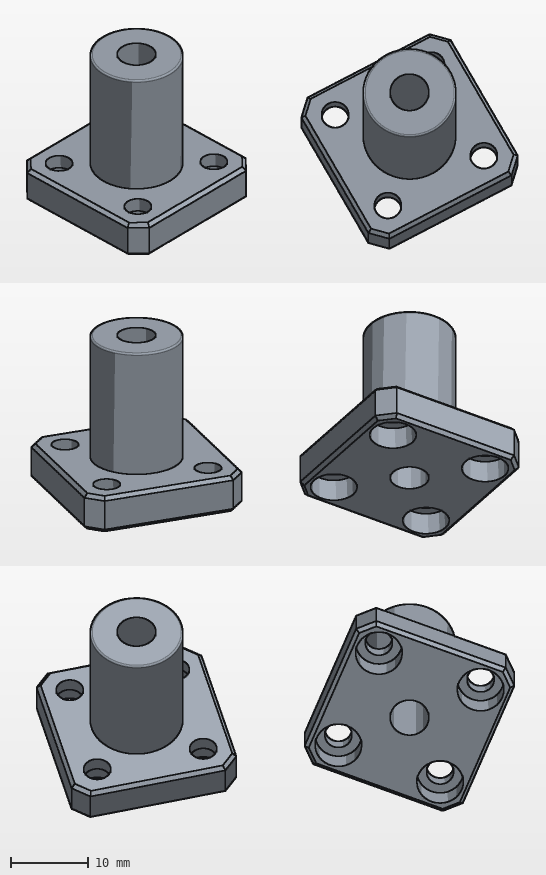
import cadquery as cq
import math

flange_side = 22.0
flange_thickness = 5.0
corner_chamfer = 2.0
edge_chamfer = 0.5

overall_height = 22.0
shaft_diameter = 12.0
shaft_rim_radius = 0.25
bore_diameter = 5.0

bolt_circle_diameter = 20.0
screw_hole_diameter = 3.5
counterbore_diameter = 6.0
counterbore_depth = 3.1

hole_spacing = bolt_circle_diameter / math.sqrt(2)


def make_flange():
    """Square plate with cut corners and bevelled top and bottom rims."""
    plate = cq.Workplane("XY").rect(flange_side, flange_side).extrude(flange_thickness)
    plate = plate.edges("|Z").chamfer(corner_chamfer)
    return plate.faces("<Z or >Z").chamfer(edge_chamfer)


def make_shaft():
    """Round shaft, starting at the flange underside, with a rounded top rim."""
    shaft = cq.Workplane("XY").circle(shaft_diameter / 2).extrude(overall_height)
    return shaft.faces(">Z").edges().fillet(shaft_rim_radius)


def make_bore():
    """Cutter for the bore along the full height of the part."""
    return cq.Workplane("XY").circle(bore_diameter / 2).extrude(overall_height)


def make_corner_cylinders(diameter, height):
    """Four upright cylinders at the screw positions, rising from the flange underside."""
    centres = cq.Workplane("XY").rect(hole_spacing, hole_spacing, forConstruction=True).vertices()
    return centres.circle(diameter / 2).extrude(height)


body = make_flange().union(make_shaft())
body = body.cut(make_bore())
body = body.cut(make_corner_cylinders(screw_hole_diameter, flange_thickness))
result = body.cut(make_corner_cylinders(counterbore_diameter, counterbore_depth))